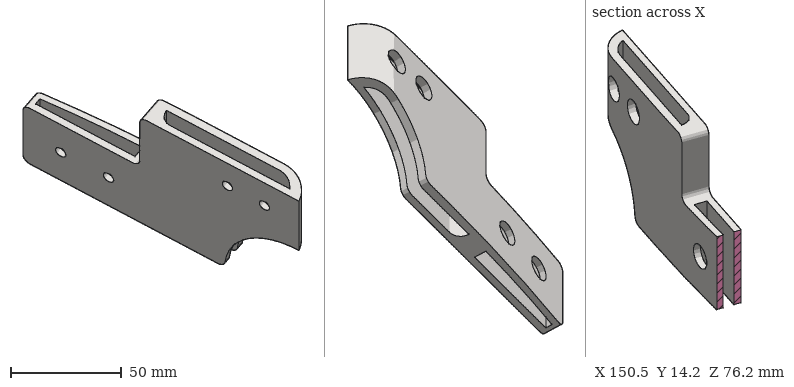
import cadquery as cq
import math

length = 150.5
thickness = 14.2
height = 76.2

step_x = 63.7
step_z = 40.4
notch_radius = 40.5
corner_radius = 4.0

left_end_thickness = 10.0
taper_end_x = 90.3
nose_start_x = 132.8

front_wall = 3.6
back_wall = 4.2
pocket_back_y = thickness - back_wall
tapered_pocket_left_x = 4.5
tapered_pocket_right_x = 58.7
tapered_pocket_left_y = 7.1
tapered_pocket_middle_y = 9.0
nose_pocket_left_x = 71.7
nose_pocket_right_x = 143.0

screw_diameter = 5.5
access_diameter = 12.0
lower_screw_xs = (20.6, 46.7)
lower_screw_z = 20.3
upper_screw_xs = (111.5, 131.7)
upper_screw_z = 59.8
screw_positions = [(x, lower_screw_z) for x in lower_screw_xs]
screw_positions += [(x, upper_screw_z) for x in upper_screw_xs]


def tangent_arc_middle(flat_end, far_end):
    """Middle point of the arc that leaves flat_end parallel to X and reaches far_end."""
    run = far_end[0] - flat_end[0]
    drop = flat_end[1] - far_end[1]
    radius = (run**2 + drop**2) / (2 * drop)
    half_angle = math.asin(abs(run) / radius) / 2
    middle_x = flat_end[0] + math.copysign(radius * math.sin(half_angle), run)
    middle_y = flat_end[1] - radius * (1 - math.cos(half_angle))
    return (middle_x, middle_y)


def stepped_plate():
    """Full-thickness plate with the step, the round notch and rounded corners."""
    plate = (
        cq.Workplane("XZ")
        .lineTo(length, 0)
        .lineTo(length, height)
        .lineTo(step_x, height)
        .lineTo(step_x, step_z)
        .lineTo(0, step_z)
        .close()
        .extrude(-thickness)
    )
    notch = cq.Workplane("XZ").center(length, 0).circle(notch_radius).extrude(-thickness)
    plate = plate.cut(notch)
    return plate.edges("|Y").edges("not(>X)").fillet(corner_radius)


def back_profile():
    """Region under the back: tapered left end, flat middle, round nose."""
    taper_end = (taper_end_x, thickness)
    left_end = (0, left_end_thickness)
    nose_start = (nose_start_x, thickness)
    nose_tip = (length, 0)
    return (
        cq.Workplane("XY")
        .lineTo(*left_end)
        .threePointArc(tangent_arc_middle(taper_end, left_end), taper_end)
        .lineTo(*nose_start)
        .threePointArc(tangent_arc_middle(nose_start, nose_tip), nose_tip)
        .close()
        .extrude(height)
    )


def tapered_pocket():
    """Pocket under the lower step, following the tapered back."""
    middle_x = (tapered_pocket_left_x + tapered_pocket_right_x) / 2
    return (
        cq.Workplane("XY")
        .moveTo(tapered_pocket_left_x, front_wall)
        .lineTo(tapered_pocket_left_x, tapered_pocket_left_y)
        .threePointArc(
            (middle_x, tapered_pocket_middle_y), (tapered_pocket_right_x, pocket_back_y)
        )
        .lineTo(tapered_pocket_right_x, front_wall)
        .close()
        .extrude(height)
    )


def nose_pocket():
    """Pocket in the tall part, with a rounded left corner and a round nose end."""
    left_radius = pocket_back_y - front_wall
    nose_start = (nose_start_x, pocket_back_y)
    nose_tip = (nose_pocket_right_x, front_wall)
    return (
        cq.Workplane("XY")
        .moveTo(nose_pocket_left_x, pocket_back_y)
        .lineTo(*nose_start)
        .threePointArc(tangent_arc_middle(nose_start, nose_tip), nose_tip)
        .lineTo(nose_pocket_left_x + left_radius, front_wall)
        .radiusArc((nose_pocket_left_x, pocket_back_y), left_radius)
        .close()
        .extrude(height)
    )


def screw_holes(diameter, start_y):
    """Cylinders at every screw position, from start_y out through the back."""
    return (
        cq.Workplane("XZ", origin=(0, start_y, 0))
        .pushPoints(screw_positions)
        .circle(diameter / 2)
        .extrude(start_y - thickness)
    )


result = (
    stepped_plate()
    .intersect(back_profile())
    .cut(tapered_pocket())
    .cut(nose_pocket())
    .cut(screw_holes(screw_diameter, 0))
    .cut(screw_holes(access_diameter, front_wall))
)